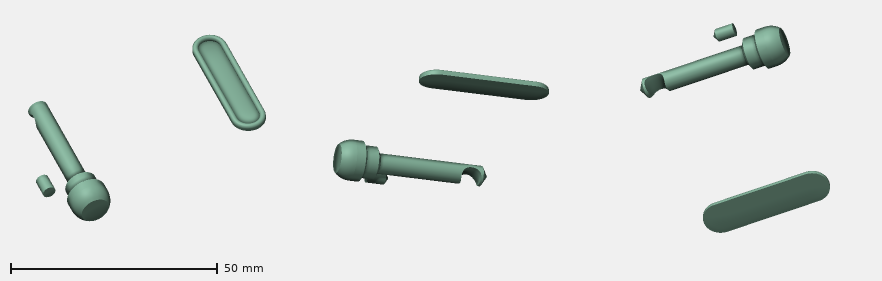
import cadquery as cq
import math

shaft_radius = 2.5
shaft_length = 26.1
collar_radius = 4.0
collar_length = 3.0
head_radius = 5.0
head_length = 2.3
dome_length = 3.5
dome_radius = 5.0
shoulder_angle = math.radians(30)
point_angle = math.radians(32)

notch_radius = 2.5
notch_x = 3.0
notch_z = -1.5

dowel_radius = 1.62
dowel_length = 4.55
dowel_x = 22.0
dowel_y = -8.0

tray_straight = 24.0
tray_width = 8.6
rim_width = 1.5
rim_radius = rim_width / 2
floor_thickness = 0.25
tray_overhang = 1.695
tray_y = 44.8
tray_bottom = 3.1

tip_length = shaft_radius * math.tan(point_angle)
dowel_tip_length = dowel_radius * math.tan(point_angle)
tray_length = tray_straight + tray_width
tray_x = -tip_length - tray_overhang + tray_length / 2


def make_pin():
    """Pointed shaft with a collar and a domed head, notched across near the tip."""
    collar_start = shaft_length + (collar_radius - shaft_radius) * math.tan(shoulder_angle)
    collar_end = collar_start + collar_length
    head_start = collar_end + (head_radius - collar_radius) * math.tan(shoulder_angle)
    dome_start = head_start + head_length
    dome_end = dome_start + dome_length

    def dome_height(distance):
        """Radius of the head at a distance along the dome, which leaves the head smoothly."""
        return head_radius - dome_radius + math.sqrt(dome_radius**2 - distance**2)

    half_dome = dome_length / 2
    body = (
        cq.Workplane("XZ")
        .moveTo(-tip_length, 0)
        .lineTo(0, shaft_radius)
        .lineTo(shaft_length, shaft_radius)
        .lineTo(collar_start, collar_radius)
        .lineTo(collar_end, collar_radius)
        .lineTo(head_start, head_radius)
        .lineTo(dome_start, head_radius)
        .threePointArc(
            (dome_start + half_dome, dome_height(half_dome)),
            (dome_end, dome_height(dome_length)),
        )
        .lineTo(dome_end, 0)
        .close()
        .revolve(360, (0, 0, 0), (1, 0, 0))
    )
    notch = (
        cq.Workplane("XZ")
        .center(notch_x, notch_z)
        .circle(notch_radius)
        .extrude(shaft_radius, both=True)
    )
    return body.cut(notch)


def make_dowel():
    """Short cylinder with a conical point on its -X end."""
    return (
        cq.Workplane("XZ")
        .moveTo(-dowel_tip_length, 0)
        .lineTo(0, dowel_radius)
        .lineTo(dowel_length, dowel_radius)
        .lineTo(dowel_length, 0)
        .close()
        .revolve(360, (0, 0, 0), (1, 0, 0))
        .translate((dowel_x, dowel_y, 0))
    )


def make_tray():
    """Thin floor inside a round rim whose outer lower half is squared off."""
    rim_centre_z = tray_bottom + rim_radius
    centre_width = tray_width - rim_width

    def stadium(width, height):
        """Block with round ends, standing on the underside of the tray."""
        return (
            cq.Workplane("XY", origin=(tray_x, tray_y, tray_bottom))
            .slot2D(tray_straight + width, width)
            .extrude(height)
        )

    wall = stadium(tray_width, rim_radius)
    inside = stadium(centre_width, rim_width)
    floor = stadium(centre_width, floor_thickness)

    rim_path = cq.Workplane("XY", origin=(tray_x, tray_y, rim_centre_z)).slot2D(
        tray_straight + centre_width, centre_width
    )
    rim = (
        cq.Workplane("YZ", origin=(tray_x, tray_y + centre_width / 2, rim_centre_z))
        .circle(rim_radius)
        .sweep(rim_path)
    )
    return wall.cut(inside).union(rim).union(floor)


pin = make_pin()
dowel = make_dowel()
tray = make_tray()

result = cq.Compound.makeCompound([pin.val(), dowel.val(), tray.val()])